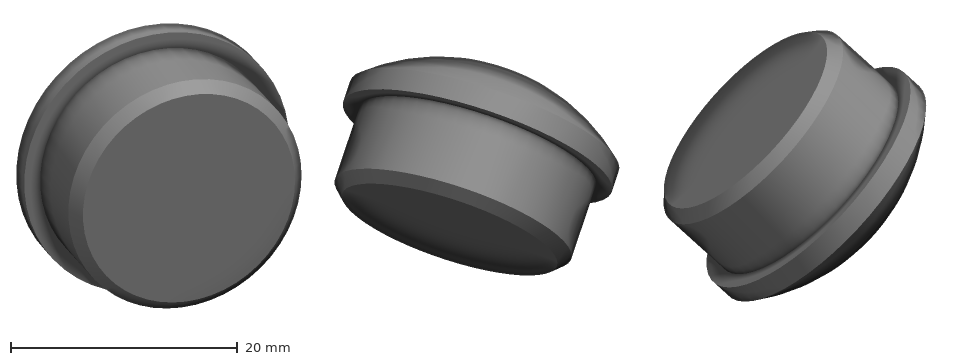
import cadquery as cq
import math

flange_diameter = 25.0
flange_thickness = 2.0
dome_height = 5.0
plug_diameter = 22.0
plug_length = 8.0
plug_chamfer = 1.0

flange_radius = flange_diameter / 2
plug_radius = plug_diameter / 2
flange_front_x = -flange_thickness
dome_tip_x = flange_front_x - dome_height

dome_radius = (flange_radius**2 + dome_height**2) / (2 * dome_height)
dome_center_x = dome_tip_x + dome_radius

half_angle = math.asin(flange_radius / dome_radius) / 2
dome_mid_point = (
    dome_center_x - dome_radius * math.cos(half_angle),
    dome_radius * math.sin(half_angle),
)


def half_profile():
    """Closed half section in the XY plane, from the X axis outward."""
    return (
        cq.Workplane("XY")
        .moveTo(dome_tip_x, 0)
        .threePointArc(dome_mid_point, (flange_front_x, flange_radius))
        .lineTo(0, flange_radius)
        .lineTo(0, plug_radius)
        .lineTo(plug_length - plug_chamfer, plug_radius)
        .lineTo(plug_length, plug_radius - plug_chamfer)
        .lineTo(plug_length, 0)
        .close()
    )


result = half_profile().revolve(360, (0, 0, 0), (1, 0, 0))